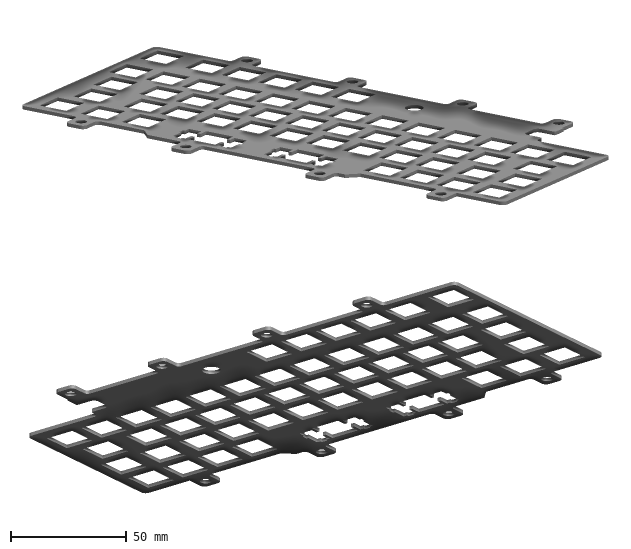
import cadquery as cq


length = 252.6
depth = 104.3
thickness = 1.6

first_to_last_key = 228.6
pitch = first_to_last_key / 12
key_web = 5.0
key_size = pitch - key_web
first_key_x = 11.4
front_key_y = 11.5

KEY_ROWS = [
    (0, [0.125, 1.25, 2.375, 9, 10, 11, 12]),
    (1, [0.375] + [1.75 + i for i in range(9)] + [10.875, 12]),
    (2, [0.25] + [1.5 + i for i in range(10)] + [11.75]),
    (3, list(range(13))),
    (4.25, [0] + [1.25 + i for i in range(5)]),
]

WIDE_KEYS = [4.375, 6.875]
wide_key_row = -0.25
stabilizer_offset = 12.0
housing_width = 6.5
housing_back = 5.5
housing_front = -6.8
clip_width = 3.0
clip_front = -7.8
wing_reach = 4.3
wing_back = 2.3
wing_front = -0.5
channel_width = 4.5

lip_depth = pitch / 4
lip_left = 64.7
lip_right = 177.5

step_x = 213.5
step_y = depth - 22.0
notch_depth = 9.9
notch_width = 10.0
notch_y = depth - 12.0

tab_width = 10.0
tab_reach = 9.9
tab_hole_diameter = 5.0
tab_hole_inset = 5.0
BACK_TABS = [44.7, 99.8, 157.5, 207.7]
OUTER_FRONT_TABS = [34.9, 222.8]
INNER_FRONT_TABS = [92.7, 162.7]

round_hole_x = 143.3
round_hole_diameter = 8.0

corner_radius = 2.3
root_radius = 1.8
step_side_radius = 0.5


def block(x_min, x_max, y_min, y_max):
    """Full-thickness block between the given sides."""
    return cq.Workplane("XY").box(
        x_max - x_min, y_max - y_min, thickness, centered=False
    ).translate((x_min, y_min, 0))


def key_x(place):
    return first_key_x + place * pitch


def key_y(row):
    return front_key_y + row * pitch


def round_corners(body, corners, radius):
    """Round the upright edges that stand on the given (x, y) corners."""
    tolerance = 0.03

    def on_corner(edge):
        spot = edge.Center()
        return any(abs(spot.x - x) < tolerance and abs(spot.y - y) < tolerance for x, y in corners)

    return body.edges("|Z").filter(on_corner).fillet(radius)


def main_plate():
    outline = [
        (0, 0),
        (lip_left, 0),
        (lip_left + lip_depth, -lip_depth),
        (lip_right - lip_depth, -lip_depth),
        (lip_right, 0),
        (length, 0),
        (length, step_y),
        (step_x, step_y),
        (step_x, depth),
        (0, depth),
    ]
    plate = cq.Workplane("XY").polyline(outline).close().extrude(thickness)
    main_corners = [(0, 0), (length, 0), (length, step_y), (step_x, step_y), (0, depth)]
    plate = round_corners(plate, main_corners, corner_radius)

    notch_x = step_x - notch_depth
    notch_front = notch_y - notch_width / 2
    notch_back = notch_y + notch_width / 2
    plate = plate.cut(block(notch_x, step_x, notch_front, notch_back))
    plate = round_corners(plate, [(notch_x, notch_front), (notch_x, notch_back)], corner_radius)
    side_corners = [(step_x, notch_front), (step_x, notch_back), (step_x, depth)]
    return round_corners(plate, side_corners, step_side_radius)


def add_tab(plate, x, root_y, direction, round_right_root=True):
    """Add a screw tab that points back (direction 1) or to the front (direction -1)."""
    left = x - tab_width / 2
    right = x + tab_width / 2
    tip_y = root_y + direction * tab_reach
    plate = plate.union(block(left, right, min(root_y, tip_y), max(root_y, tip_y)))
    plate = round_corners(plate, [(left, tip_y), (right, tip_y)], corner_radius)
    roots = [(left, root_y)]
    if round_right_root:
        roots.append((right, root_y))
    plate = round_corners(plate, roots, root_radius)
    hole_y = tip_y - direction * tab_hole_inset
    return plate.cut(round_cutter(x, hole_y, tab_hole_diameter))


def round_cutter(x, y, diameter):
    return cq.Workplane("XY").center(x, y).circle(diameter / 2).extrude(thickness)


def key_cutter(x, y):
    half = key_size / 2
    return block(x - half, x + half, y - half, y + half)


def wide_key_cutter(x, y):
    """Key opening joined by a channel to a stabilizer housing on each side."""
    cutter = key_cutter(x, y)
    cutter = cutter.union(block(
        x - stabilizer_offset, x + stabilizer_offset, y - channel_width / 2, y + channel_width / 2
    ))
    wing_span = stabilizer_offset + wing_reach
    cutter = cutter.union(block(x - wing_span, x + wing_span, y + wing_front, y + wing_back))
    for side in (-1, 1):
        housing_x = x + side * stabilizer_offset
        for width, front in ((housing_width, housing_front), (clip_width, clip_front)):
            cutter = cutter.union(block(
                housing_x - width / 2, housing_x + width / 2, y + front, y + housing_back
            ))
    return cutter


result = main_plate()

for tab_x in BACK_TABS:
    result = add_tab(result, tab_x, depth, 1, round_right_root=tab_x != BACK_TABS[-1])
for tab_x in OUTER_FRONT_TABS:
    result = add_tab(result, tab_x, 0, -1, round_right_root=tab_x != OUTER_FRONT_TABS[-1])
for tab_x in INNER_FRONT_TABS:
    result = add_tab(result, tab_x, -lip_depth, -1)

for row, places in KEY_ROWS:
    for place in places:
        result = result.cut(key_cutter(key_x(place), key_y(row)))
for place in WIDE_KEYS:
    result = result.cut(wide_key_cutter(key_x(place), key_y(wide_key_row)))

back_row = KEY_ROWS[-1][0]
result = result.cut(round_cutter(round_hole_x, key_y(back_row), round_hole_diameter))